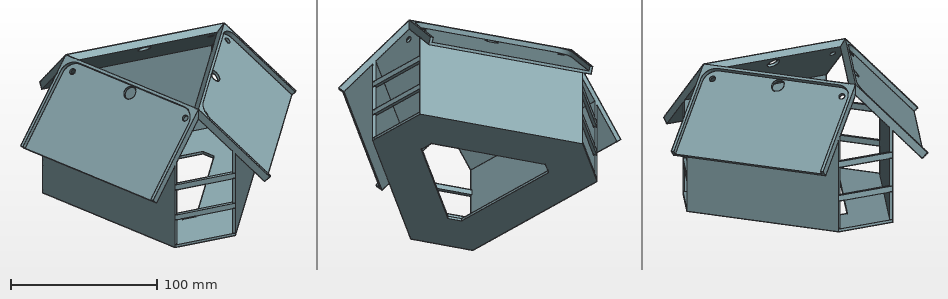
import cadquery as cq
import math

overall_width = 201.7
ridge_height = 98.2
panel_width = 116.0
panel_thickness = 5.5
roof_pitch = 45.0

pocket_depth = 3.5
pocket_border = 2.0
pocket_corner_radius = 9.9

peg_hole_diameter = 4.2
peg_hole_inset = 8.7
centre_hole_diameter = 9.0
centre_hole_inset = 7.0

wall_distance = 59.1
wall_thickness = 2.2
floor_thickness = 2.0
floor_width = 30.0

lower_bar_bottom = 21.8
lower_bar_height = 4.0
upper_bar_bottom = 45.5
upper_bar_height = 4.2

ridge_distance = panel_width / (2 * math.sqrt(3))
eave_distance = (overall_width - panel_width / 2) / math.sqrt(3)
panel_length = (eave_distance - ridge_distance) / math.cos(math.radians(roof_pitch))
opening_distance = panel_width * math.sqrt(3) / 4 + wall_distance / 2


def three_times(solid):
    """Repeat a solid every 120 degrees about the vertical axis."""
    copies = solid
    for angle in (120, 240):
        copies = copies.union(solid.rotate((0, 0, 0), (0, 0, 1), angle))
    return copies


def triangle_prism(distance, height, turn):
    """Equilateral triangular prism centred on the axis; distance is from the axis to each side."""
    prism = cq.Workplane("XY").polygon(3, 4 * distance).extrude(height)
    return prism.rotate((0, 0, 0), (0, 0, 1), turn)


def hexagon_prism(inset, height):
    """House outline moved inwards by inset: long sides under the roof, short open sides between."""
    long_sides = triangle_prism(wall_distance - inset, height, 90)
    short_sides = triangle_prism(opening_distance - inset, height, -90)
    return long_sides.intersect(short_sides)


def roof_plane():
    """Plane on the front panel's outer face: origin mid-ridge, local y pointing up the slope."""
    pitch = math.radians(roof_pitch)
    return cq.Plane(
        origin=(0, -ridge_distance, ridge_height),
        xDir=(1, 0, 0),
        normal=(0, -math.sin(pitch), math.cos(pitch)),
    )


def roof_panel():
    """Front roof panel, recessed on its outer face with the recess open at the eave."""
    plane = roof_plane()
    panel = cq.Workplane(plane).rect(panel_width, panel_length).extrude(-panel_thickness)
    panel = panel.translate(plane.yDir * (-panel_length / 2))

    pocket_length = 2 * panel_length
    pocket = (
        cq.Workplane(plane)
        .center(0, -pocket_border - pocket_length / 2)
        .rect(panel_width - 2 * pocket_border, pocket_length)
        .extrude(-pocket_depth)
        .edges(cq.selectors.ParallelDirSelector(plane.zDir))
        .fillet(pocket_corner_radius)
    )

    peg_x = panel_width / 2 - peg_hole_inset
    peg_holes = (
        cq.Workplane(plane)
        .pushPoints([(-peg_x, -peg_hole_inset), (peg_x, -peg_hole_inset)])
        .circle(peg_hole_diameter / 2)
        .extrude(-panel_thickness)
    )
    centre_hole = (
        cq.Workplane(plane)
        .center(0, -centre_hole_inset)
        .circle(centre_hole_diameter / 2)
        .extrude(-panel_thickness)
    )
    return panel.cut(pocket).cut(peg_holes).cut(centre_hole)


def wall():
    """Front wall, its sloping top meeting the underside of the roof panel."""
    inner_distance = wall_distance - wall_thickness
    drop = panel_thickness / math.cos(math.radians(roof_pitch))
    slope = math.tan(math.radians(roof_pitch))
    inner_top = ridge_height - drop - (inner_distance - ridge_distance) * slope
    outer_top = inner_top - wall_thickness * slope
    return (
        cq.Workplane("YZ")
        .polyline([
            (-wall_distance, 0),
            (-inner_distance, 0),
            (-inner_distance, inner_top),
            (-wall_distance, outer_top),
        ])
        .close()
        .extrude(panel_width / 2, both=True)
    )


def bars(bottom, height):
    """Rails across the three open sides at one level."""
    ring = hexagon_prism(0, height).cut(triangle_prism(opening_distance - wall_thickness, height, -90))
    return ring.translate((0, 0, bottom))


floor = hexagon_prism(0, floor_thickness).cut(hexagon_prism(floor_width, floor_thickness))

result = (
    three_times(roof_panel())
    .union(three_times(wall()))
    .union(floor)
    .union(bars(lower_bar_bottom, lower_bar_height))
    .union(bars(upper_bar_bottom, upper_bar_height))
)